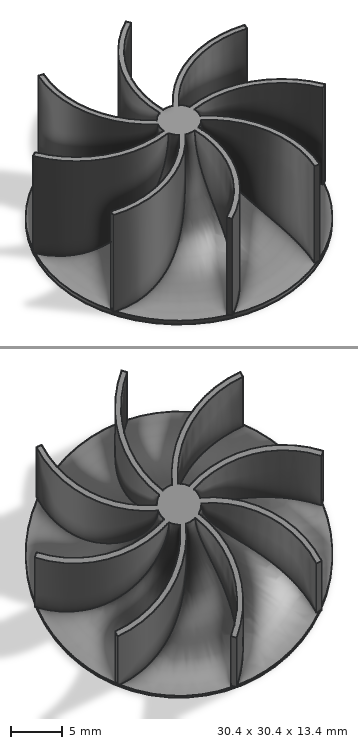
import cadquery as cq

disc_diameter = 30.0
disc_thickness = 0.55
overall_height = 13.38
blade_count = 8
blade_thickness = 0.58
blade_bow = 2.7

disc_radius = disc_diameter / 2
blade_height = overall_height - disc_thickness
hub_top_radius = disc_radius - blade_height


def make_hub():
    """Disc and hub, joined by a concave quarter-circle flare."""
    flare_middle = (
        disc_radius - blade_height * 0.5**0.5,
        overall_height - blade_height * 0.5**0.5,
    )
    return (
        cq.Workplane("XZ")
        .lineTo(disc_radius, 0)
        .lineTo(disc_radius, disc_thickness)
        .threePointArc(flare_middle, (hub_top_radius, overall_height))
        .lineTo(0, overall_height)
        .close()
        .revolve(360, (0, 0, 0), (0, 1, 0))
    )


def make_blade():
    """Upright blade following one arc from the axis to the disc rim, with a square-cut tip."""
    half_chord = disc_radius / 2
    arc_radius = (half_chord**2 + blade_bow**2) / (2 * blade_bow)
    arc_centre_y = blade_bow - arc_radius

    def offset_point(x, y, offset):
        """Move a centreline point outward along its radius from the arc centre."""
        scale = offset / arc_radius
        return (x + (x - half_chord) * scale, y + (y - arc_centre_y) * scale)

    outer = blade_thickness / 2
    inner = -outer
    return (
        cq.Workplane("XY", origin=(0, 0, disc_thickness))
        .moveTo(*offset_point(0, 0, outer))
        .threePointArc(
            offset_point(half_chord, blade_bow, outer),
            offset_point(disc_radius, 0, outer),
        )
        .lineTo(*offset_point(disc_radius, 0, inner))
        .threePointArc(
            offset_point(half_chord, blade_bow, inner),
            offset_point(0, 0, inner),
        )
        .close()
        .extrude(blade_height)
    )


result = make_hub()
blade = make_blade()
for index in range(blade_count):
    angle = index * 360 / blade_count
    result = result.union(blade.rotate((0, 0, 0), (0, 0, 1), angle))